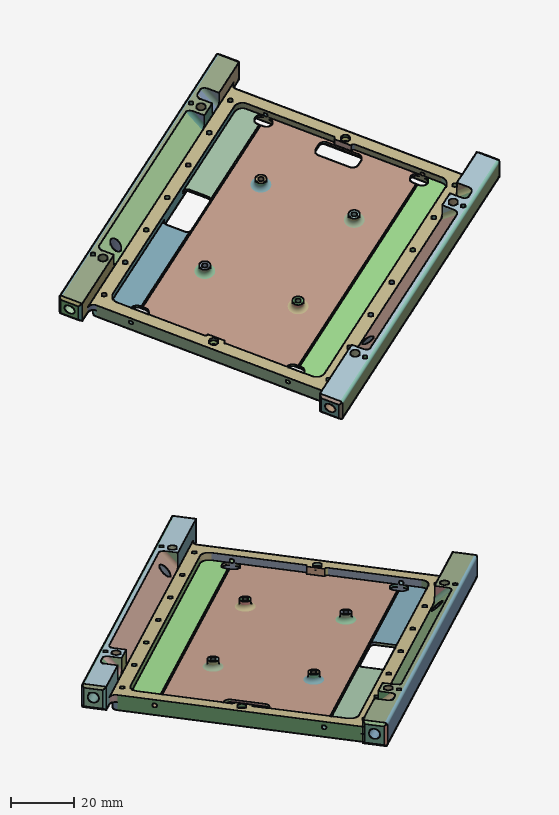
import cadquery as cq
import math

width = 100.0
length = 113.5
height = 11.5

rail_width = 8.1
rail_height = 8.5
rail_round = 0.9
rail_end_chamfer = 0.9
rail_bottom = height - rail_height
rail_x = (width - rail_width) / 2
rail_inner_x = width / 2 - rail_width

tray_length = 100.0
tray_top = 5.6
tray_corner_radius = 2.0
floor_top = 2.8
floor_thickness = 1.0
floor_bottom = floor_top - floor_thickness
recess_width = 74.7
recess_length = 92.0
recess_corner_radius = 3.0

pad_width = 5.9
pad_depth = 0.9
pad_root_radius = 0.8

pocket_rise = height - tray_top
pocket_round = 1.4
pocket_spans = [(36.8, 41.7), (-33.3, 31.2)]

mount_x = 44.5
mount_hole = 3.0
pin_x = 48.0
pin_hole = 1.5
mount_rows = [33.9, -36.0]
cable_hole = 3.5
cable_x = 44.5
cable_y = -26.8

end_hole = 3.6
end_hole_depth = 10.0
drill_point_angle = 118.0
end_hole_z = height - rail_width / 2

edge_hole = 1.6
edge_hole_x = 39.6
edge_hole_pitch = 15.0
edge_hole_count = 7

screw_y = 47.0
screw_hole = 1.4
screw_head = 3.0
screw_head_depth = 1.1

wall_hole = 1.5
wall_hole_x = 27.7
wall_hole_z = 3.5

standoff_x = 16.5
standoff_y = 20.0
standoff_diameter = 3.6
standoff_height = tray_top - floor_top
standoff_fillet = 1.5
standoff_hole = 1.8

slot_length = 6.0
slot_width = 4.0
slot_x = 27.5
slot_y = recess_length / 2 - slot_width / 2
end_window_width = 15.0
end_window_length = 6.0
end_window_radius = 2.0
end_window_y = 42.0
side_window_width = 9.5
side_window_length = 16.2
side_window_radius = 1.5
side_window_x = -(recess_width - side_window_width) / 2


def block(x_size, y_size, z_low, z_high):
    """Box centred on the Z axis between two heights."""
    return cq.Workplane("XY").workplane(offset=z_low).rect(x_size, y_size).extrude(z_high - z_low)


def through_holes(points, diameter):
    """Vertical cylinders tall enough to cut right through the part."""
    return cq.Workplane("XY").pushPoints(points).circle(diameter / 2).extrude(height)


def four_corners(x, y):
    return [(sx * x, sy * y) for sx in (-1, 1) for sy in (-1, 1)]


def make_rail():
    """Rail on the +X side."""
    rail = block(rail_width, length, rail_bottom, height).translate((rail_x, 0, 0))
    rail = rail.faces("<Y or >Y").chamfer(rail_end_chamfer)
    return rail.edges("|Y and >X").fillet(rail_round)


def make_sloped_pocket(y_start, y_end):
    """Round-edged slot running up at 45 degrees from the tray top to the rail top."""
    slope_plane = cq.Plane(origin=(rail_inner_x, 0, tray_top), xDir=(0, 1, 0), normal=(1, 0, 1))
    run = 2 * pocket_rise
    return (
        cq.Workplane(slope_plane)
        .center((y_start + y_end) / 2, run / 2)
        .rect(y_end - y_start, run)
        .extrude(run)
        .edges(cq.selectors.ParallelDirSelector(cq.Vector(1, 0, 1)))
        .fillet(pocket_round)
    )


def make_end_drills():
    """Drill-shaped cutters entering the +X rail from both ends."""
    radius = end_hole / 2
    point_depth = radius / math.tan(math.radians(drill_point_angle / 2))
    drill = (
        cq.Workplane("XY")
        .lineTo(radius, 0)
        .lineTo(radius, end_hole_depth)
        .lineTo(0, end_hole_depth + point_depth)
        .close()
        .revolve(360, (0, 0, 0), (0, 1, 0))
        .translate((rail_x, -length / 2, end_hole_z))
    )
    return [drill, drill.mirror("XZ")]


def make_rail_side():
    """Rail on the +X side with its pockets, through holes and end holes."""
    rail = make_rail()
    for y_start, y_end in pocket_spans:
        rail = rail.cut(make_sloped_pocket(y_start, y_end))
    rail = rail.cut(through_holes([(mount_x, y) for y in mount_rows], mount_hole))
    rail = rail.cut(through_holes([(pin_x, y) for y in mount_rows], pin_hole))
    rail = rail.cut(through_holes([(cable_x, cable_y)], cable_hole))
    for drill in make_end_drills():
        rail = rail.cut(drill)
    return rail


def make_corner_web(x_side, y_side):
    """Concave fillet between a rail and the tray end, above the rail underside."""
    x, y, r = x_side * rail_inner_x, y_side * tray_length / 2, tray_corner_radius
    arc_middle = (x - x_side * r * (1 - math.sqrt(0.5)), y + y_side * r * (1 - math.sqrt(0.5)))
    return (
        cq.Workplane("XY")
        .workplane(offset=rail_bottom)
        .moveTo(x, y)
        .lineTo(x - x_side * r, y)
        .threePointArc(arc_middle, (x, y + y_side * r))
        .close()
        .extrude(tray_top - rail_bottom)
    )


def make_tray():
    """Tray with rounded lower corners and webs reaching out to the rails."""
    tray_width = 2 * rail_inner_x
    tray = block(tray_width, tray_length, 0, rail_bottom).edges("|Z").fillet(tray_corner_radius)
    tray = tray.union(block(tray_width, tray_length, rail_bottom, tray_top))
    for x_side, y_side in four_corners(1, 1):
        tray = tray.union(make_corner_web(x_side, y_side))
    return tray


def recess_block(z_low, z_high):
    """Plain recess outline with rounded corners between two heights."""
    return block(recess_width, recess_length, z_low, z_high).edges("|Z").fillet(recess_corner_radius)


def make_upper_recess():
    """Recess above the floor, stepped inward around the two end screws."""
    recess = recess_block(floor_top, tray_top)
    pad = block(pad_width, 2 * pad_depth, floor_top, tray_top)
    for end in (-1, 1):
        recess = recess.cut(pad.translate((0, end * recess_length / 2, 0)))
    pad_tip_y = (recess_length - pad_depth) / 2
    pad_edges = cq.selectors.BoxSelector((-pad_width, -length, 0), (pad_width, length, height))
    pad_tips = cq.selectors.BoxSelector((-pad_width, -pad_tip_y, 0), (pad_width, pad_tip_y, height))
    return recess.edges("|Z").edges(pad_edges - pad_tips).fillet(pad_root_radius)


def make_standoff():
    """Round post on the tray floor with a wide concave foot."""
    radius = standoff_diameter / 2
    foot = radius + standoff_fillet
    bend = standoff_fillet * (1 - math.sqrt(0.5))
    return (
        cq.Workplane("XZ")
        .lineTo(foot, 0)
        .threePointArc((radius + bend, bend), (radius, standoff_fillet))
        .lineTo(radius, standoff_height)
        .lineTo(0, standoff_height)
        .close()
        .revolve(360, (0, 0, 0), (0, 1, 0))
    )


def make_screw_hole():
    """Flat-sided head recess with a conical seat and a through hole below it."""
    head, hole = screw_head / 2, screw_hole / 2
    seat_top = tray_top - screw_head_depth
    return (
        cq.Workplane("XZ")
        .lineTo(hole, 0)
        .lineTo(hole, seat_top - (head - hole))
        .lineTo(head, seat_top)
        .lineTo(head, tray_top)
        .lineTo(0, tray_top)
        .close()
        .revolve(360, (0, 0, 0), (0, 1, 0))
    )


def make_window(x_size, y_size, corner_radius):
    """Round-cornered opening through the tray floor."""
    return block(x_size, y_size, 0, floor_top).edges("|Z").fillet(corner_radius)


result = make_tray().cut(make_upper_recess()).cut(recess_block(0, floor_bottom))
for x, y in four_corners(standoff_x, standoff_y):
    result = result.union(make_standoff().translate((x, y, floor_top)))
result = result.cut(through_holes(four_corners(standoff_x, standoff_y), standoff_hole))

slots = cq.Workplane("XY").pushPoints(four_corners(slot_x, slot_y)).slot2D(slot_length, slot_width)
result = result.cut(slots.extrude(floor_top))
end_window = make_window(end_window_width, end_window_length, end_window_radius)
result = result.cut(end_window.translate((0, end_window_y, 0)))
side_window = make_window(side_window_width, side_window_length, side_window_radius)
result = result.cut(side_window.translate((side_window_x, 0, 0)))

rail_side = make_rail_side()
result = result.union(rail_side).union(rail_side.mirror("YZ"))

edge_hole_rows = [(i - (edge_hole_count - 1) / 2) * edge_hole_pitch for i in range(edge_hole_count)]
edge_hole_points = [(x, y) for x in (-edge_hole_x, edge_hole_x) for y in edge_hole_rows]
result = result.cut(through_holes(edge_hole_points, edge_hole))

for end in (-1, 1):
    result = result.cut(make_screw_hole().translate((0, end * screw_y, 0)))
wall_holes = (
    cq.Workplane("XZ")
    .pushPoints([(-wall_hole_x, wall_hole_z), (wall_hole_x, wall_hole_z)])
    .circle(wall_hole / 2)
    .extrude(length / 2, both=True)
)
result = result.cut(wall_holes)